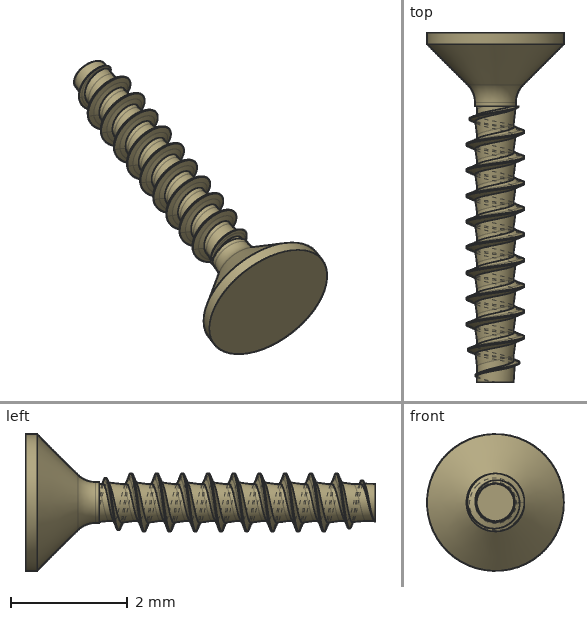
import cadquery as cq
import math

length = 6.0

head_radius = 1.175
head_rim_height = 0.2
neck_radius = 0.355
neck_end_depth = 1.265
neck_fillet_radius = 0.42
cone_angle = math.radians(45)

core_radius = 0.32
thread_radius = 0.5
first_crest_depth = 1.26
last_crest_depth = 5.665
pitches_between_crests = 10
pitch = (last_crest_depth - first_crest_depth) / pitches_between_crests

crest_half_width = 0.01
flank_break_half_width = 0.04
flank_break_radius = 0.41
head_foot_half_width = 0.085
tip_foot_half_width = 0.07

root_taper_radius = 0.35
root_taper_end_offset = 0.28

growth_start_turn = -0.5
growth_end_turn = 1.0
fade_start_turn = 9.3
fade_end_turn = 10.7
least_fullness = 0.05

rod_start_turn = -2
rod_end_turn = 12
steps_per_turn = 24


def make_head():
    """Revolve the rim, the countersink cone and the filleted neck about Y."""
    fillet_drop = neck_fillet_radius * math.sin(cone_angle)
    fillet_rise = neck_fillet_radius * (1 - math.cos(cone_angle))
    cone_end_radius = neck_radius + fillet_rise
    cone_height = (head_radius - cone_end_radius) / math.tan(cone_angle)
    cone_end_depth = head_rim_height + cone_height
    fillet_end_depth = cone_end_depth + fillet_drop
    fillet_mid = (
        neck_radius + neck_fillet_radius * (1 - math.cos(cone_angle / 2)),
        -fillet_end_depth + neck_fillet_radius * math.sin(cone_angle / 2),
    )
    return (
        cq.Workplane("XY")
        .lineTo(head_radius, 0)
        .lineTo(head_radius, -head_rim_height)
        .lineTo(cone_end_radius, -cone_end_depth)
        .threePointArc(fillet_mid, (neck_radius, -fillet_end_depth))
        .lineTo(neck_radius, -neck_end_depth)
        .lineTo(0, -neck_end_depth)
        .close()
        .revolve(360, (0, 0, 0), (0, 1, 0))
    )


def tip_fade(turn):
    """Share of the full thread size left near the tip: 1 along the shank, almost 0 at the tip."""
    fade = (fade_end_turn - turn) / (fade_end_turn - fade_start_turn)
    return max(least_fullness, min(1.0, fade))


def ridge_fullness(turn):
    """Share of the full ridge size: 1 along the shank, almost 0 at both ends."""
    growth = (turn - growth_start_turn) / (growth_end_turn - growth_start_turn)
    return max(least_fullness, min(growth, tip_fade(turn)))


def thread_profile(turn):
    """(radius, offset toward the tip) of one pitch, up to the start of the next ridge."""
    fullness = ridge_fullness(turn)
    root_radius = core_radius + tip_fade(turn) * (root_taper_radius - core_radius)
    crest_radius = root_radius + fullness * (thread_radius - root_radius)
    break_radius = root_radius + fullness * (flank_break_radius - root_radius)
    return [
        (core_radius, -fullness * head_foot_half_width),
        (break_radius, -fullness * flank_break_half_width),
        (crest_radius, -fullness * crest_half_width),
        (crest_radius, fullness * crest_half_width),
        (root_radius, fullness * tip_foot_half_width),
        (core_radius, root_taper_end_offset),
    ]


def helix_point(turn, radius, offset=0.0):
    """Point on a right-handed helix about Y, shifted by offset toward the tip."""
    angle = 2 * math.pi * turn
    depth = first_crest_depth + pitch * turn + offset
    return cq.Vector(radius * math.cos(angle), -depth, radius * math.sin(angle))


def profile_points(turn):
    """Thread profile of one pitch as points in space."""
    return [helix_point(turn, radius, offset) for radius, offset in thread_profile(turn)]


def turn_rails(start_turn):
    """One helical edge over a full turn for each profile point."""
    turns = [start_turn + step / steps_per_turn for step in range(steps_per_turn + 1)]
    return [cq.Edge.makeSpline(list(points)) for points in zip(*map(profile_points, turns))]


def radial_section(turn):
    """Flat face from the axis out to one pitch of the thread profile."""
    outline = profile_points(turn)
    outline.append(profile_points(turn + 1)[0])
    outline.append(helix_point(turn + 1, 0))
    outline.append(helix_point(turn, 0))
    return cq.Face.makeFromWires(cq.Wire.makePolygon(outline, close=True))


def helicoid_cap(rail, turn):
    """Helical ramp closing the rod between its axis and one turn of a rail."""
    axis = cq.Edge.makeLine(helix_point(turn, 0), helix_point(turn + 1, 0))
    return cq.Face.makeRuledSurface(axis, rail)


def make_threaded_rod():
    """Overlong threaded rod whose whole outer surface is helical."""
    rails = []
    for turn in range(rod_start_turn, rod_end_turn):
        rails += turn_rails(turn)
    rails.append(turn_rails(rod_end_turn)[0])

    faces = [cq.Face.makeRuledSurface(rail, following) for rail, following in zip(rails, rails[1:])]
    faces.append(helicoid_cap(rails[0], rod_start_turn))
    faces.append(helicoid_cap(rails[-1], rod_end_turn))
    faces.append(radial_section(rod_start_turn))
    faces.append(radial_section(rod_end_turn))
    return cq.Workplane(cq.Solid.makeSolid(cq.Shell.makeShell(faces)).fix())


def make_shank():
    """Trim the rod between the neck and the tip face."""
    envelope = (
        cq.Workplane("XZ", origin=(0, -neck_end_depth, 0))
        .circle(head_radius)
        .extrude(length - neck_end_depth)
    )
    return make_threaded_rod().intersect(envelope)


result = make_head().union(make_shank()).solids()